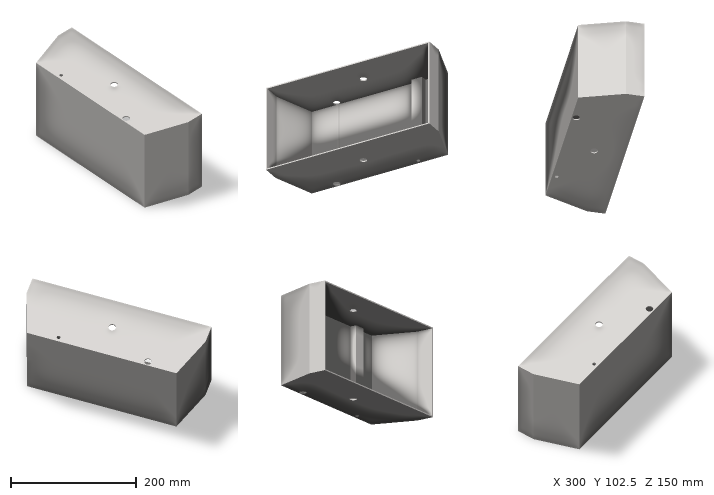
import cadquery as cq

width = 300.0
depth = 102.5
height = 150.0
wall = 2.0

front_width = 250.2
straight_side_depth = 30.0

large_hole_diameter = 12.0
small_hole_diameter = 6.0
front_hole_offset = 7.5
front_hole_spacing = 150.0
center_hole_offset = 52.5

post_width = 19.8
post_depth = 10.8

front_y = -depth / 2
back_y = depth / 2
front_hole_y = front_y + front_hole_offset


def plan_outline():
    """Closed plan outline on the underside of the box."""
    taper_end_y = back_y - straight_side_depth
    return (
        cq.Workplane("XY")
        .moveTo(-width / 2, back_y)
        .lineTo(-width / 2, taper_end_y)
        .lineTo(-front_width / 2, front_y)
        .lineTo(front_width / 2, front_y)
        .lineTo(width / 2, taper_end_y)
        .lineTo(width / 2, back_y)
        .close()
    )


def open_back_box():
    """Thin-walled box with its back face open."""
    return plan_outline().extrude(height).faces(">Y").shell(-wall)


def small_hole_post():
    """Full-height post standing against the inside of the front wall."""
    return (
        cq.Workplane("XY")
        .center(-front_hole_spacing / 2, front_y + wall)
        .rect(post_width, 2 * post_depth)
        .extrude(height)
        .intersect(plan_outline().extrude(height))
    )


def vertical_hole(x, y, diameter):
    """Cutter for a hole through the full height."""
    return cq.Workplane("XY").center(x, y).circle(diameter / 2).extrude(height)


result = (
    open_back_box()
    .union(small_hole_post())
    .cut(vertical_hole(0, front_y + center_hole_offset, large_hole_diameter))
    .cut(vertical_hole(front_hole_spacing / 2, front_hole_y, large_hole_diameter))
    .cut(vertical_hole(-front_hole_spacing / 2, front_hole_y, small_hole_diameter))
)